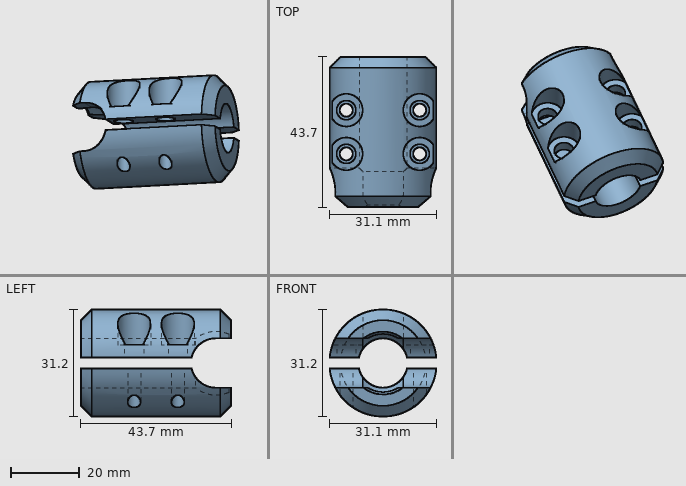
import cadquery as cq

INCH = 25.4

length = 1.72 * INCH
outer_radius = 1.23 * INCH / 2
end_chamfer = INCH / 8

split_gap = INCH / 8

bore_radius = 9 * INCH / 32
socket_radius = 9.27
ball_inset = 4.5
mouth_radius = 9.13
neck_radius = 8.45

screw_pitch_x = 0.84 * INCH
screw_pitch_y = INCH / 2
counterbore_diameter = 0.375 * INCH
counterbore_floor_z = 5.35
clearance_diameter = 5.6
tapped_diameter = 3.73

front_y = -length / 2
ball_y = front_y + ball_inset
neck_y = ball_y - (socket_radius**2 - neck_radius**2) ** 0.5
screw_points = [
    (x_side * screw_pitch_x / 2, y_side * screw_pitch_y / 2)
    for x_side in (-1, 1)
    for y_side in (-1, 1)
]


def make_barrel():
    """Solid cylinder along Y with both ends chamfered."""
    return (
        cq.Workplane("XZ")
        .circle(outer_radius)
        .extrude(length / 2, both=True)
        .faces("<Y or >Y")
        .chamfer(end_chamfer)
    )


def make_socket_cavity():
    """Through bore, spherical ball socket and flared mouth at the -Y end."""
    bore = cq.Workplane("XZ").circle(bore_radius).extrude(length, both=True)
    ball = cq.Workplane("XY").sphere(socket_radius).translate((0, ball_y, 0))
    mouth = (
        cq.Workplane("XY")
        .moveTo(0, front_y)
        .lineTo(mouth_radius, front_y)
        .lineTo(neck_radius, neck_y)
        .lineTo(0, neck_y)
        .close()
        .revolve(360, (0, 0, 0), (0, 1, 0))
    )
    return bore.union(ball).union(mouth)


def make_cross_slot():
    """Round-bottomed slot across X, open at the -Y end and centred on the ball."""
    round_end = (
        cq.Workplane("YZ")
        .center(ball_y, 0)
        .circle(bore_radius)
        .extrude(outer_radius, both=True)
    )
    open_end = cq.Workplane("XY").box(2 * outer_radius, ball_inset, 2 * bore_radius)
    return round_end.union(open_end.translate((0, ball_y - ball_inset / 2, 0)))


def make_screw_cuts(diameter, start_z, end_z):
    """Four vertical cylinders at the screw positions, from start_z to end_z."""
    return (
        cq.Workplane("XY")
        .workplane(offset=start_z)
        .pushPoints(screw_points)
        .circle(diameter / 2)
        .extrude(end_z - start_z)
    )


def make_half(side):
    """Half of the hollow barrel: side is +1 above the split and -1 below it."""
    keep_height = outer_radius - split_gap / 2
    keep_box = (
        cq.Workplane("XY")
        .box(2 * outer_radius, length, keep_height)
        .translate((0, 0, side * (split_gap + keep_height) / 2))
    )
    hollow_barrel = make_barrel().cut(make_socket_cavity()).cut(make_cross_slot())
    return hollow_barrel.intersect(keep_box)


def make_upper_clamp():
    """Upper half, with counterbored clearance holes for the screws."""
    clearance = make_screw_cuts(clearance_diameter, 0, outer_radius)
    counterbores = make_screw_cuts(counterbore_diameter, counterbore_floor_z, outer_radius)
    return make_half(1).cut(clearance).cut(counterbores)


def make_lower_clamp():
    """Lower half, with the screw thread holes running right through."""
    return make_half(-1).cut(make_screw_cuts(tapped_diameter, -outer_radius, 0))


upper_clamp = make_upper_clamp()
lower_clamp = make_lower_clamp()

result = cq.Compound.makeCompound([*upper_clamp.solids().vals(), *lower_clamp.solids().vals()])